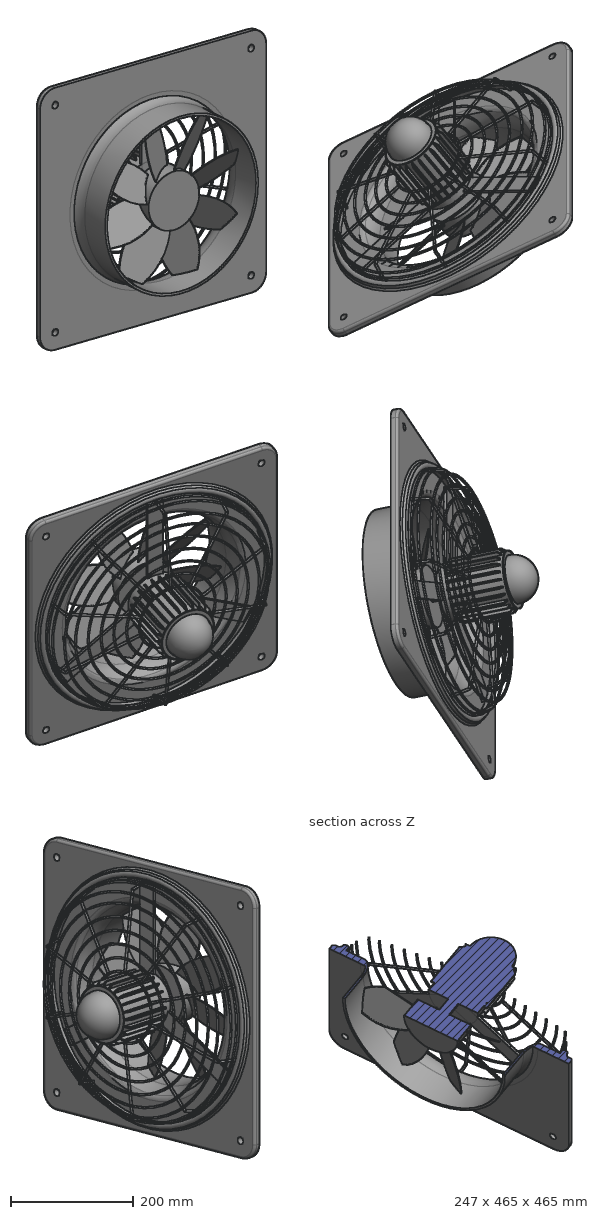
import cadquery as cq
import math


TOTAL_LENGTH = 247.0

PLATE_SIDE = 465.0
PLATE_DEPTH = 12.5
PLATE_FRONT = -PLATE_DEPTH
PLATE_CORNER_RADIUS = 30.0
PLATE_EDGE_ROUND = 4.5
MOUNTING_HOLE_SPACING = 403.0
MOUNTING_HOLE_DIAMETER = 12.0

DUCT_OUTER_RADIUS = 157.5
DUCT_WALL = 4.5
DUCT_INNER_RADIUS = DUCT_OUTER_RADIUS - DUCT_WALL
DUCT_BACK = 77.0
MOUTH_END = 21.0
MOUTH_OUTER_CURVE = 43.0
MOUTH_INNER_CURVE = MOUTH_OUTER_CURVE + DUCT_WALL
LIP_RADIUS = 163.0

BEAD_FOOT_RADIUS = 222.0
BEAD_SHOULDER_RADIUS = 218.8
BEAD_TOP_RADIUS = 217.0
BEAD_CREST_RADIUS = 212.0
BEAD_INNER_RADIUS = 207.0
BEAD_HEIGHT = 10.2
BEAD_SHOULDER_HEIGHT = 3.0
BEAD_TOP_HEIGHT = 8.0

WIRE = 3.0
SPOKE_WIRE = 4.0
SPOKE_COUNT = 10
SPOKE_FOOT = (-11.0, 205.8)
SPOKE_BEND = (-51.8, 196.7)
FACE_RING_COUNT = 6
FACE_RING_FIRST_RADIUS = 60.5
FACE_RING_PITCH = 22.3
FACE_RING_FIRST_X = -73.5
FACE_RING_STEP_X = 3.0
OUTER_FACE_RING_RADIUS = 190.5
SIDE_RINGS = [(-37.0, 203.0), (-26.4, 205.5)]
SPOKE_SETBACK = 3.0

DOME_RADIUS = 41.0
MOTOR_FRONT = DUCT_BACK - TOTAL_LENGTH + DOME_RADIUS
MOTOR_RADIUS = 48.0
COVER_RADIUS = 49.0
COVER_THICKNESS = 1.5
FIN_COUNT = 24
FIN_RADIUS = 54.4
FIN_THICKNESS = 2.5
FIN_FRONT = -123.0
FIN_BACK = -30.0
FIN_CHAMFER = 5.5

ARM_COUNT = 3
ARM_WIDTH = 29.0
ARM_THICKNESS = 5.0
ARM_LENGTH = 199.0
ARM_FRONT = PLATE_FRONT - ARM_THICKNESS

SHAFT_RADIUS = 10.0
HUB_RADIUS = 52.0
HUB_FRONT = 14.0
HUB_BACK = 56.0
BLADE_COUNT = 8
BLADE_START_ANGLE = 14.5
BLADE_PITCH_ANGLE = 31.0
BLADE_THICKNESS = 2.0
BLADE_CENTRE_X = 37.0
BLADE_ROOT = (42.0, 21.0)
BLADE_MIDDLE = (100.0, 28.5)
BLADE_TIP = (147.0, 18.0)


def revolved(profile):
    """Turn a closed (x, radius) profile about the fan axis."""
    return profile.close().revolve(360, (0, 0, 0), (1, 0, 0))


def cylinder(front, back, radius):
    return cq.Workplane("YZ", origin=(front, 0, 0)).circle(radius).extrude(back - front)


def ring_pattern(shape, count, start_angle=0.0):
    """List of copies of a shape spread evenly about the fan axis."""
    step = 360.0 / count
    return [shape.rotate((0, 0, 0), (1, 0, 0), start_angle + i * step) for i in range(count)]


def make_plate():
    """Rounded square plate, still closed where the duct mouth will be."""
    plate = (
        cq.Workplane("YZ", origin=(PLATE_FRONT, 0, 0))
        .rect(PLATE_SIDE, PLATE_SIDE)
        .extrude(PLATE_DEPTH)
        .edges("|X")
        .fillet(PLATE_CORNER_RADIUS)
        .faces("<X")
        .edges()
        .fillet(PLATE_EDGE_ROUND)
    )
    holes = (
        cq.Workplane("YZ", origin=(PLATE_FRONT, 0, 0))
        .rect(MOUNTING_HOLE_SPACING, MOUNTING_HOLE_SPACING, forConstruction=True)
        .vertices()
        .circle(MOUNTING_HOLE_DIAMETER / 2)
        .extrude(PLATE_DEPTH)
    )
    return plate.cut(holes)


def make_duct():
    """Straight duct with a curved mouth that bends out, tangentially, into the plate front."""
    centre_radius = DUCT_OUTER_RADIUS + MOUTH_OUTER_CURVE

    def mouth_point(curve, angle):
        return (MOUTH_END - curve * math.sin(angle), centre_radius - curve * math.cos(angle))

    lip_angle = math.acos((centre_radius - LIP_RADIUS) / MOUTH_INNER_CURVE)
    lip_x, lip_radius = mouth_point(MOUTH_INNER_CURVE, lip_angle)
    bend = (lip_x - PLATE_FRONT) / (1 - math.sin(lip_angle))
    bend_x = PLATE_FRONT + bend
    bend_radius = lip_radius + bend * math.cos(lip_angle)
    bend_half = (lip_angle + math.pi / 2) / 2
    bend_middle = (bend_x - bend * math.sin(bend_half), bend_radius - bend * math.cos(bend_half))

    back_angle = math.asin(MOUTH_END / MOUTH_OUTER_CURVE)
    profile = (
        cq.Workplane("XY")
        .moveTo(DUCT_BACK, DUCT_INNER_RADIUS)
        .lineTo(MOUTH_END, DUCT_INNER_RADIUS)
        .threePointArc(mouth_point(MOUTH_INNER_CURVE, lip_angle / 2), (lip_x, lip_radius))
        .threePointArc(bend_middle, (PLATE_FRONT, bend_radius))
        .lineTo(0, bend_radius)
        .lineTo(*mouth_point(MOUTH_OUTER_CURVE, back_angle))
        .threePointArc(
            mouth_point(MOUTH_OUTER_CURVE, back_angle / 2), (MOUTH_END, DUCT_OUTER_RADIUS)
        )
        .lineTo(DUCT_BACK, DUCT_OUTER_RADIUS)
    )
    opening = cylinder(PLATE_FRONT, 0, bend_radius)
    return revolved(profile), opening


def make_bead():
    """Solid ring on the plate front with a rounded crest."""
    shoulder = (PLATE_FRONT - BEAD_SHOULDER_HEIGHT, BEAD_SHOULDER_RADIUS)
    top_x = PLATE_FRONT - BEAD_TOP_HEIGHT
    profile = (
        cq.Workplane("XY")
        .moveTo(PLATE_FRONT, BEAD_INNER_RADIUS)
        .lineTo(PLATE_FRONT, BEAD_FOOT_RADIUS)
        .lineTo(*shoulder)
        .lineTo(top_x, BEAD_TOP_RADIUS)
        .threePointArc((PLATE_FRONT - BEAD_HEIGHT, BEAD_CREST_RADIUS), (top_x, BEAD_INNER_RADIUS))
    )
    return revolved(profile)


def wire_ring(x, radius):
    return cq.Workplane(cq.Solid.makeTorus(radius, WIRE / 2, cq.Vector(x, 0, 0), cq.Vector(1, 0, 0)))


def make_spoke():
    """One bent wire in the XZ plane, from the bead to the innermost face ring."""
    end = (FACE_RING_FIRST_X + SPOKE_SETBACK, FACE_RING_FIRST_RADIUS)
    path = cq.Workplane("XZ").moveTo(*SPOKE_FOOT).lineTo(*SPOKE_BEND).lineTo(*end)
    start = cq.Workplane("YZ", origin=(SPOKE_FOOT[0], 0, SPOKE_FOOT[1]))
    return start.circle(SPOKE_WIRE / 2).sweep(path, transition="round")


def make_guard():
    parts = []
    for i in range(FACE_RING_COUNT):
        radius = FACE_RING_FIRST_RADIUS + i * FACE_RING_PITCH
        parts.append(wire_ring(FACE_RING_FIRST_X + i * FACE_RING_STEP_X, radius))
    outer_x = FACE_RING_FIRST_X + FACE_RING_COUNT * FACE_RING_STEP_X
    parts.append(wire_ring(outer_x, OUTER_FACE_RING_RADIUS))
    for x, radius in SIDE_RINGS:
        parts.append(wire_ring(x, radius))
    return parts + ring_pattern(make_spoke(), SPOKE_COUNT)


def make_motor():
    """Finned motor body with a front cover and a half-round dome."""
    body = cylinder(MOTOR_FRONT, PLATE_FRONT, MOTOR_RADIUS)
    cover = cylinder(MOTOR_FRONT, MOTOR_FRONT + COVER_THICKNESS, COVER_RADIUS)
    dome_middle = DOME_RADIUS * math.sqrt(0.5)
    dome = revolved(
        cq.Workplane("XY")
        .moveTo(MOTOR_FRONT, 0)
        .lineTo(MOTOR_FRONT, DOME_RADIUS)
        .threePointArc((MOTOR_FRONT - dome_middle, dome_middle), (MOTOR_FRONT - DOME_RADIUS, 0))
    )
    fin_root = MOTOR_RADIUS - FIN_THICKNESS
    fin = (
        cq.Workplane("XZ")
        .moveTo(FIN_FRONT, fin_root)
        .lineTo(FIN_FRONT, FIN_RADIUS - FIN_CHAMFER)
        .lineTo(FIN_FRONT + FIN_CHAMFER, FIN_RADIUS)
        .lineTo(FIN_BACK, FIN_RADIUS)
        .lineTo(FIN_BACK, fin_root)
        .close()
        .extrude(FIN_THICKNESS / 2, both=True)
    )
    return [body, cover, dome] + ring_pattern(fin, FIN_COUNT)


def make_arms():
    arm = cq.Workplane("XY").box(ARM_THICKNESS, ARM_WIDTH, ARM_LENGTH, centered=(False, True, False))
    return ring_pattern(arm.translate((ARM_FRONT, 0, 0)), ARM_COUNT)


def make_blade():
    """Flat blade along Z: its outline cut from a slab that is pitched about Z."""
    reach = 2 * BLADE_TIP[0]
    outline = (
        cq.Workplane("YZ")
        .moveTo(-BLADE_ROOT[1], BLADE_ROOT[0])
        .threePointArc((-BLADE_MIDDLE[1], BLADE_MIDDLE[0]), (-BLADE_TIP[1], BLADE_TIP[0]))
        .threePointArc((0, math.hypot(*BLADE_TIP)), (BLADE_TIP[1], BLADE_TIP[0]))
        .threePointArc((BLADE_MIDDLE[1], BLADE_MIDDLE[0]), (BLADE_ROOT[1], BLADE_ROOT[0]))
        .close()
        .extrude(reach / 2, both=True)
    )
    slab = cq.Workplane("XY").box(BLADE_THICKNESS, reach, 2 * reach)
    slab = slab.rotate((0, 0, 0), (0, 0, 1), BLADE_PITCH_ANGLE)
    return outline.intersect(slab).translate((BLADE_CENTRE_X, 0, 0))


def make_impeller():
    shaft = cylinder(PLATE_FRONT, HUB_FRONT, SHAFT_RADIUS)
    hub = cylinder(HUB_FRONT, HUB_BACK, HUB_RADIUS)
    return [shaft, hub] + ring_pattern(make_blade(), BLADE_COUNT, BLADE_START_ANGLE)


duct, opening = make_duct()
plate = make_plate().cut(opening)
parts = [duct, make_bead()] + make_arms() + make_guard() + make_motor() + make_impeller()
union = plate.val().fuse(*[part.val() for part in parts])
result = cq.Workplane(union.Solids()[0])